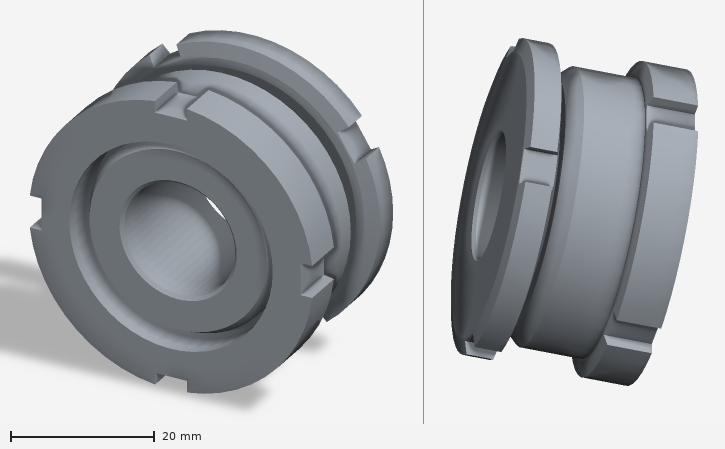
import cadquery as cq
import math

RIM_RADIUS = 22.45
RIM_CHAMFER_LENGTH = 0.6
RIM_CHAMFER_DEPTH = RIM_CHAMFER_LENGTH / math.tan(math.radians(15))
SLOT_COUNT = 4
SLOT_WIDTH = 5.05
SLOT_FLOOR = 20.5
THREAD_RADIUS = 15.1

FLANGE_BACK = 7.0
BODY_RADIUS = 19.95
BODY_BACK = 17.95
BODY_CHAMFER_LENGTH = 2.15
BODY_CHAMFER_DEPTH = 1.95
RECESS_RADIUS = 16.1
RECESS_DEPTH = 7.0

SPINDLE_FRONT = 2.1
SPINDLE_BACK = 24.2
SPINDLE_FACE_RADIUS = 14.0
SPINDLE_CHAMFER_LENGTH = 2.05
NECK_RADIUS = 13.8
NECK_START = 18.38
NECK_CONE_LENGTH = 2.05
COLLAR_WIDTH = 5.05
COLLAR_FRONT = SPINDLE_BACK - COLLAR_WIDTH
COLLAR_SLOT_ANGLE = -32.2
COLLAR_RECESS_RADIUS = 18.95
COLLAR_RECESS_DEPTH = 1.0
BORE_RADIUS = 8.75
BORE_CHAMFER = 0.5


def revolve_about_y(profile):
    """Revolve a closed (radius, y) profile about the Y axis."""
    return cq.Workplane("XY").polyline(profile).close().revolve(360, (0, 0, 0), (0, 1, 0))


def cut_rim_slots(body, y_start, y_end, first_angle):
    """Cut equally spaced flat-bottomed slots in a rim between two Y positions."""
    length = y_end - y_start
    radial_size = 2 * (RIM_RADIUS - SLOT_FLOOR)
    slot = cq.Workplane("XY").box(radial_size, length, SLOT_WIDTH)
    slot = slot.translate((RIM_RADIUS, (y_start + y_end) / 2, 0))
    for index in range(SLOT_COUNT):
        angle = first_angle + index * 360 / SLOT_COUNT
        body = body.cut(slot.rotate((0, 0, 0), (0, 1, 0), angle))
    return body


def make_housing():
    """Flanged sleeve with a front recess and a through bore."""
    profile = [
        (RECESS_RADIUS, 0),
        (RIM_RADIUS, 0),
        (RIM_RADIUS, FLANGE_BACK - RIM_CHAMFER_LENGTH),
        (RIM_RADIUS - RIM_CHAMFER_DEPTH, FLANGE_BACK),
        (BODY_RADIUS, FLANGE_BACK),
        (BODY_RADIUS, BODY_BACK - BODY_CHAMFER_LENGTH),
        (BODY_RADIUS - BODY_CHAMFER_DEPTH, BODY_BACK),
        (THREAD_RADIUS, BODY_BACK),
        (THREAD_RADIUS, RECESS_DEPTH),
        (RECESS_RADIUS, RECESS_DEPTH),
    ]
    return cut_rim_slots(revolve_about_y(profile), 0, FLANGE_BACK, 0)


def make_spindle():
    """Hollow spindle with a tapered neck and a slotted collar at the back."""
    recess_floor = COLLAR_FRONT + COLLAR_RECESS_DEPTH
    chamfer_edge = RIM_RADIUS - RIM_CHAMFER_DEPTH
    profile = [
        (BORE_RADIUS + BORE_CHAMFER, SPINDLE_FRONT),
        (SPINDLE_FACE_RADIUS, SPINDLE_FRONT),
        (THREAD_RADIUS, SPINDLE_FRONT + SPINDLE_CHAMFER_LENGTH),
        (THREAD_RADIUS, NECK_START - NECK_CONE_LENGTH),
        (NECK_RADIUS, NECK_START),
        (NECK_RADIUS, recess_floor),
        (COLLAR_RECESS_RADIUS, recess_floor),
        (COLLAR_RECESS_RADIUS, COLLAR_FRONT),
        (chamfer_edge, COLLAR_FRONT),
        (RIM_RADIUS, COLLAR_FRONT + RIM_CHAMFER_LENGTH),
        (RIM_RADIUS, SPINDLE_BACK - RIM_CHAMFER_LENGTH),
        (chamfer_edge, SPINDLE_BACK),
        (BORE_RADIUS + BORE_CHAMFER, SPINDLE_BACK),
        (BORE_RADIUS, SPINDLE_BACK - BORE_CHAMFER),
        (BORE_RADIUS, SPINDLE_FRONT + BORE_CHAMFER),
    ]
    return cut_rim_slots(revolve_about_y(profile), COLLAR_FRONT, SPINDLE_BACK, COLLAR_SLOT_ANGLE)


housing = make_housing()
spindle = make_spindle()
result = cq.Compound.makeCompound([housing.val(), spindle.val()])